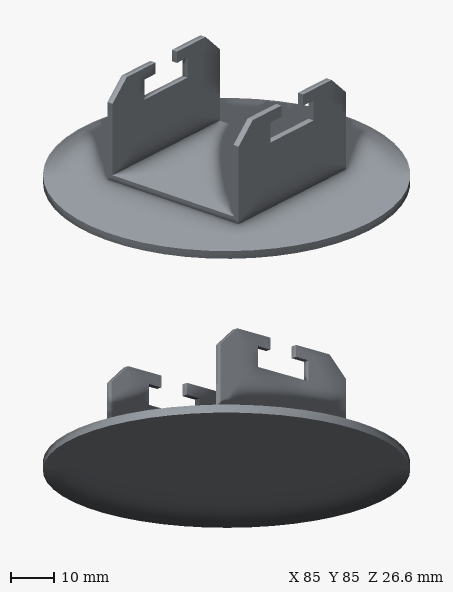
import cadquery as cq

base_diameter = 85.0
base_thickness = 1.95

bracket_size = 39.2
bracket_height = 24.65
sheet_thickness = 1.5
corner_width = 5.2
corner_height = 4.9

mouth_width = 7.9
lip_height = 2.9
pocket_width = 15.7
pocket_height = 5.1

bracket_top = base_thickness + bracket_height


def centred_box(size_x, size_y, bottom, top):
    """Box centred on the Z axis, spanning the given heights."""
    return (
        cq.Workplane("XY")
        .workplane(offset=bottom)
        .rect(size_x, size_y)
        .extrude(top - bottom)
    )


def bracket_blank():
    """Solid block with its upper corners cut off, seen along X."""
    half = bracket_size / 2
    shoulder = bracket_top - corner_height
    return (
        cq.Workplane("YZ")
        .moveTo(-half, base_thickness)
        .lineTo(half, base_thickness)
        .lineTo(half, shoulder)
        .lineTo(half - corner_width, bracket_top)
        .lineTo(-half + corner_width, bracket_top)
        .lineTo(-half, shoulder)
        .close()
        .extrude(half, both=True)
    )


def bracket():
    """Floor and two side walls, each wall with a T-shaped notch."""
    channel = centred_box(
        bracket_size - 2 * sheet_thickness,
        bracket_size,
        base_thickness + sheet_thickness,
        bracket_top,
    )
    pocket_top = bracket_top - lip_height
    mouth = centred_box(bracket_size, mouth_width, pocket_top, bracket_top)
    pocket = centred_box(bracket_size, pocket_width, pocket_top - pocket_height, pocket_top)
    return bracket_blank().cut(channel).cut(mouth).cut(pocket)


base = cq.Workplane("XY").circle(base_diameter / 2).extrude(base_thickness)
result = base.union(bracket())